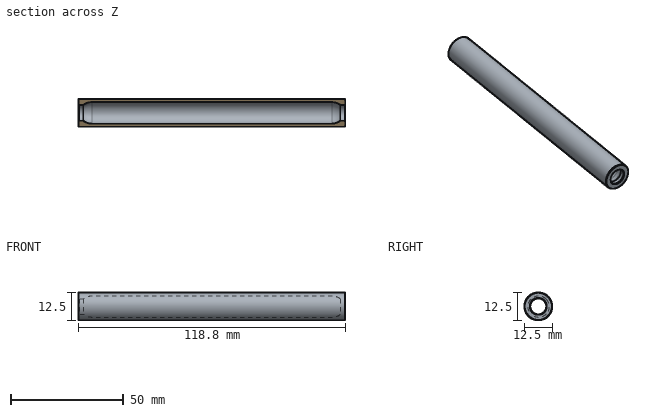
import cadquery as cq
import math

length = 118.75
outer_diameter = 12.5

bore_diameter = 7.0
relief_diameter = 9.5
land_length = 2.25

relief_arc_radius = 6.0

rim_chamfer = 0.25
mouth_chamfer = 0.3

half_length = length / 2
outer_radius = outer_diameter / 2
bore_radius = bore_diameter / 2
relief_radius = relief_diameter / 2

relief_depth = relief_radius - bore_radius
arc_angle = math.acos(1 - relief_depth / relief_arc_radius)
land_end_x = half_length - land_length
arc_end_x = land_end_x - relief_arc_radius * math.sin(arc_angle)
arc_middle_x = arc_end_x + relief_arc_radius * math.sin(arc_angle / 2)
arc_middle_radius = relief_radius - relief_arc_radius * (1 - math.cos(arc_angle / 2))


def make_bar():
    """Solid bar with a bevel around both rims."""
    bar = cq.Workplane("YZ", origin=(-half_length, 0, 0)).circle(outer_radius).extrude(length)
    return bar.faces("<X or >X").edges().chamfer(rim_chamfer)


def make_cavity():
    """Inside of the sleeve, turned about the X axis: bevelled mouths, lands and relief."""
    profile = (
        cq.Workplane("XY")
        .moveTo(-half_length, 0)
        .lineTo(-half_length, bore_radius + mouth_chamfer)
        .lineTo(-half_length + mouth_chamfer, bore_radius)
        .lineTo(-land_end_x, bore_radius)
        .threePointArc((-arc_middle_x, arc_middle_radius), (-arc_end_x, relief_radius))
        .lineTo(arc_end_x, relief_radius)
        .threePointArc((arc_middle_x, arc_middle_radius), (land_end_x, bore_radius))
        .lineTo(half_length - mouth_chamfer, bore_radius)
        .lineTo(half_length, bore_radius + mouth_chamfer)
        .lineTo(half_length, 0)
        .close()
    )
    return profile.revolve(360, (0, 0, 0), (1, 0, 0))


result = make_bar().cut(make_cavity())